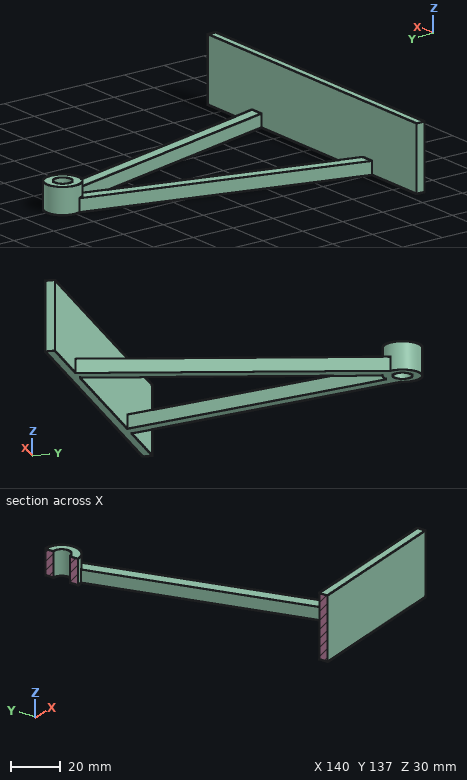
import cadquery as cq
import math

plate_length = 140.0
plate_thickness = 4.0
plate_height = 30.0

total_depth = 137.0
ring_diameter = 16.0
hole_diameter = 8.0
ring_height = 12.0
ring_y = total_depth - ring_diameter / 2

arm_size = 6.0
arm_angle = math.radians(15)
arm_base_offset = 37.1
arm_half_width_x = arm_size / math.cos(arm_angle) / 2
arm_tip_offset = arm_base_offset - (ring_y - plate_thickness) * math.tan(arm_angle)


def make_arm(side):
    """Arm on the side given by the sign of X, ending inside the ring."""
    corners = [
        (side * (arm_base_offset - arm_half_width_x), plate_thickness),
        (side * (arm_base_offset + arm_half_width_x), plate_thickness),
        (side * (arm_tip_offset + arm_half_width_x), ring_y),
        (side * (arm_tip_offset - arm_half_width_x), ring_y),
    ]
    return cq.Workplane("XY").polyline(corners).close().extrude(arm_size)


plate = cq.Workplane("XY").box(
    plate_length, plate_thickness, plate_height, centered=(True, False, False)
)
ring = cq.Workplane("XY").center(0, ring_y).circle(ring_diameter / 2).extrude(ring_height)
hole = cq.Workplane("XY").center(0, ring_y).circle(hole_diameter / 2).extrude(ring_height)

bracket = plate.union(ring)
for side in (-1, 1):
    bracket = bracket.union(make_arm(side))

result = bracket.cut(hole)